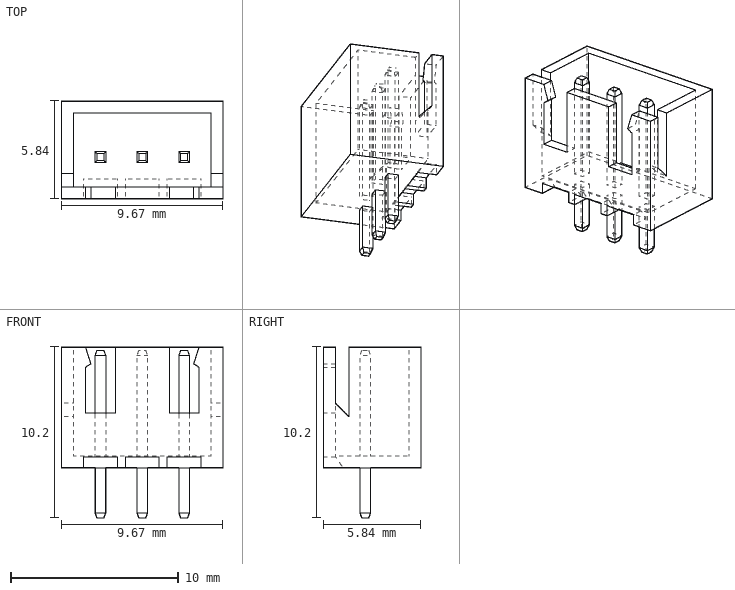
import cadquery as cq


total_height = 10.21

housing_width = 9.67
housing_depth = 5.84
housing_height = 7.22
wall = 0.71
front_wall = 0.72

pin_count = 3
pin_pitch = 2.5
pin_size = 0.64
pin_tip_size = 0.42
pin_tip_height = 0.31
pin_y = 2.5
pin_below_housing = total_height - housing_height
pin_top_gap = 0.2

slot_inner_x = 1.61
slot_outer_x = 3.39
slot_depth = 3.94
latch_reach = 0.32
latch_tip_depth = 1.0
latch_base_depth = 1.2

gap_width = 0.8
gap_front_depth = 3.35
gap_rear_depth = gap_front_depth + gap_width

notch_width = 2.02
notch_height = 0.66
notch_ramp_run = 0.46

pin_positions = [(i - (pin_count - 1) / 2) * pin_pitch for i in range(pin_count)]


def make_shell():
    """Box with an open-topped cavity."""
    outer = cq.Workplane("XY").box(
        housing_width, housing_depth, housing_height, centered=(True, False, False)
    )
    cavity = (
        cq.Workplane("XY")
        .box(
            housing_width - 2 * wall,
            housing_depth - front_wall - wall,
            housing_height - wall,
            centered=(True, False, False),
        )
        .translate((0, front_wall, wall))
    )
    return outer.cut(cavity)


def make_latch_slots():
    """Pair of front-wall slots, each narrowed near the rim by a latch nose."""
    right_slot = (
        cq.Workplane("XZ")
        .moveTo(slot_inner_x, housing_height)
        .lineTo(slot_inner_x, housing_height - slot_depth)
        .lineTo(slot_outer_x, housing_height - slot_depth)
        .lineTo(slot_outer_x, housing_height - latch_base_depth)
        .lineTo(slot_outer_x - latch_reach, housing_height - latch_tip_depth)
        .lineTo(slot_outer_x, housing_height)
        .close()
        .extrude(-front_wall)
    )
    return right_slot.union(right_slot.mirror("YZ"))


def make_side_gaps():
    """Full-width cut that opens both side walls just behind the front wall."""
    return (
        cq.Workplane("YZ")
        .moveTo(front_wall, housing_height)
        .lineTo(front_wall, housing_height - gap_front_depth)
        .lineTo(front_wall + gap_width, housing_height - gap_rear_depth)
        .lineTo(front_wall + gap_width, housing_height)
        .close()
        .extrude(housing_width / 2, both=True)
    )


def make_notch(x):
    """Cut under the front wall that ends in a ramp down to the underside."""
    return (
        cq.Workplane("YZ")
        .moveTo(0, 0)
        .lineTo(0, notch_height)
        .lineTo(front_wall, notch_height)
        .lineTo(front_wall + notch_ramp_run, 0)
        .close()
        .extrude(notch_width / 2, both=True)
        .translate((x, 0, 0))
    )


def make_pin(x):
    """Square pin with a tapered tip at each end."""
    bottom = -pin_below_housing
    top = housing_height - pin_top_gap
    shank_bottom = bottom + pin_tip_height
    shank_top = top - pin_tip_height

    def taper(shank_end, tip_end):
        return (
            cq.Workplane("XY", origin=(x, pin_y, shank_end))
            .rect(pin_size, pin_size)
            .workplane(offset=tip_end - shank_end)
            .rect(pin_tip_size, pin_tip_size)
            .loft()
        )

    shank = (
        cq.Workplane("XY", origin=(x, pin_y, shank_bottom))
        .rect(pin_size, pin_size)
        .extrude(shank_top - shank_bottom)
    )
    return shank.union(taper(shank_top, top)).union(taper(shank_bottom, bottom))


result = make_shell().cut(make_latch_slots()).cut(make_side_gaps())
for pin_x in pin_positions:
    result = result.cut(make_notch(pin_x)).union(make_pin(pin_x))